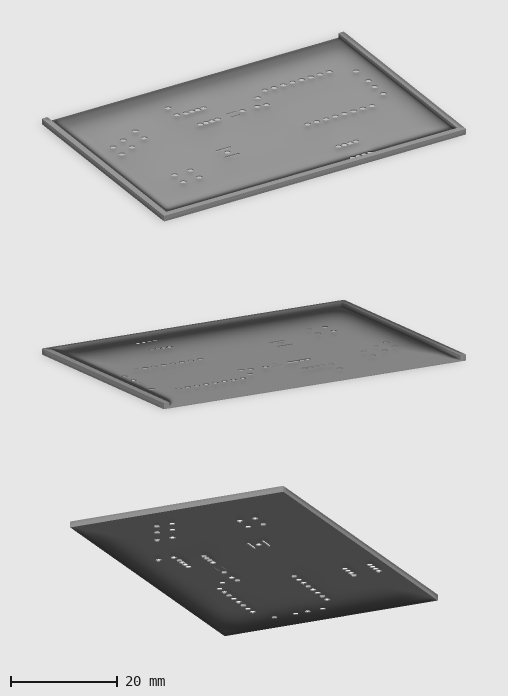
import cadquery as cq

width = 44.35
length = 65.9
height = 1.2
floor_thickness = 0.2
rim_width = 1.2

hole_diameter = 1.2

long_row_count = 8
long_row_span = 14.05
long_row_pitch = long_row_span / (long_row_count - 1)
long_row_center_y = 16.5
long_row_xs = (-11.7, 3.75)

short_row_count = 4
short_row_span = 3.8
short_row_pitch = short_row_span / (short_row_count - 1)
short_row_spacing = 5.15
short_row_pair_centers = [(16.7, 11.85), (-9.15, -5.85)]

lead_spacing = 3.15
lead_pair_centers = [
    (-0.8, 27.75),
    (-8.3, 6.8),
    (-13.6, -9.6),
    (9.4, -18.6),
    (9.4, -22.1),
    (-9.0, -19.5),
    (-7.2, -23.25),
    (-5.8, -26.3),
]

single_holes = [(-9.35, 27.95), (-4.95, 27.95), (-7.05, 4.95), (-7.05, 1.7)]

large_slot_center = (5.4, -9.0)
large_slot_width = 0.45
large_slot_length = 3.3
large_slot_spacing = 3.0

fine_slot_center = (-6.8, -0.45)
fine_slot_width = 0.2
fine_slot_length = 2.2
fine_slot_spacing = 1.45


def centered_row(count, pitch):
    """Return evenly spaced positions centred on zero."""
    return [(i - (count - 1) / 2) * pitch for i in range(count)]


def pair_along_x(center, spacing):
    """Return two points spaced along X about a centre."""
    x, y = center
    return [(x + offset, y) for offset in centered_row(2, spacing)]


def row_along_y(center, count, pitch):
    """Return a row of points along Y about a centre."""
    x, y = center
    return [(x, y + offset) for offset in centered_row(count, pitch)]


def make_tray():
    """Build the floor and its rim."""
    block = cq.Workplane("XY").box(width, length, height, centered=(True, True, False))
    recess = (
        cq.Workplane("XY", origin=(-rim_width / 2, 0, floor_thickness))
        .rect(width - rim_width, length - 2 * rim_width)
        .extrude(height)
    )
    return block.cut(recess)


def hole_points():
    """Collect the centres of all round holes."""
    points = single_holes + [large_slot_center]
    for x in long_row_xs:
        points += row_along_y((x, long_row_center_y), long_row_count, long_row_pitch)
    for pair_center in short_row_pair_centers:
        for row_center in pair_along_x(pair_center, short_row_spacing):
            points += row_along_y(row_center, short_row_count, short_row_pitch)
    for pair_center in lead_pair_centers:
        points += pair_along_x(pair_center, lead_spacing)
    return points


def slot_pair(center, slot_width, slot_length, spacing):
    """Build cutters for two parallel rectangular slots."""
    return (
        cq.Workplane("XY")
        .pushPoints(pair_along_x(center, spacing))
        .rect(slot_width, slot_length)
        .extrude(height)
    )


hole_cutters = (
    cq.Workplane("XY")
    .pushPoints(hole_points())
    .circle(hole_diameter / 2)
    .extrude(height)
)
large_slots = slot_pair(large_slot_center, large_slot_width, large_slot_length, large_slot_spacing)
fine_slots = slot_pair(fine_slot_center, fine_slot_width, fine_slot_length, fine_slot_spacing)

result = make_tray().cut(hole_cutters).cut(large_slots).cut(fine_slots)